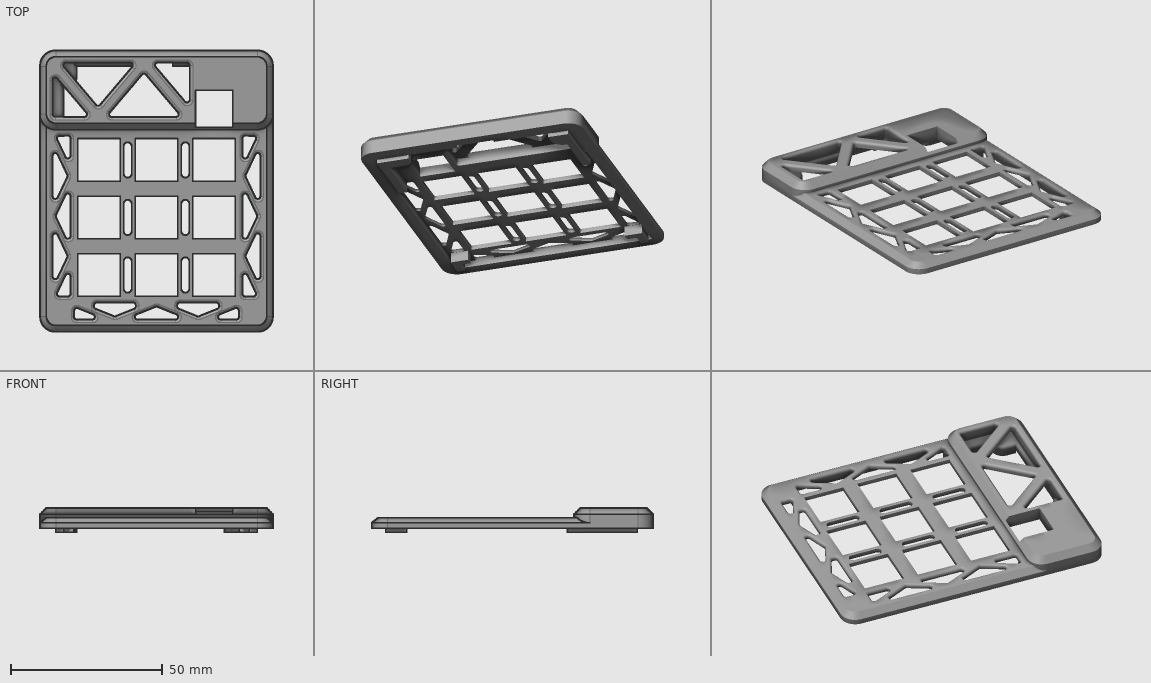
import cadquery as cq
WIDTH = 77.0
LENGTH = 93.0
CORNER_RADIUS = 5.2
TOTAL_HEIGHT = 8.09
FOOT_HEIGHT = 1.3
BLOCK_TOP = TOTAL_HEIGHT - FOOT_HEIGHT
BLOCK_DEPTH = 26.2
BLOCK_CHAMFER = 2.13
PLATE_TOP = 3.6
PLATE_THICKNESS = 1.5
PLATE_BOTTOM = PLATE_TOP - PLATE_THICKNESS
PLATE_CHAMFER_WIDTH = 2.13
PLATE_CHAMFER_HEIGHT = 1.74

X_MAX = WIDTH / 2
Y_MAX = LENGTH / 2
BLOCK_FRONT = Y_MAX - BLOCK_DEPTH

KEY_PITCH = 19.0
KEY_SIZE = 14.0
KEY_CENTER_Y = -8.7
SLOT_WIDTH = 2.6
SLOT_LENGTH = 11.6
BLOCK_KEY_SIZE = 12.2
BLOCK_KEY_Y = 27.2

RIM_RADIUS = 1.0
RIM_GAP = 0.05
WINDOW_CORNER_RADIUS = 0.85
WINDOW_INSET = RIM_RADIUS + RIM_GAP / 2

SIDE_OUTER_EDGE = 35.3
SIDE_INNER_EDGE = 27.4
SIDE_OUTER_NODE = 34.45
SIDE_INNER_NODE = 28.2
SIDE_NODE_PITCH = 13.25
SIDE_CENTER_Y = -8.25
SIDE_HALF_LENGTH = 27.55

FRONT_OUTER_EDGE = -43.4
FRONT_INNER_EDGE = -35.8
FRONT_OUTER_NODE = -42.5
FRONT_INNER_NODE = -37.0
FRONT_NODE_PITCH = 13.75
FRONT_HALF_LENGTH = 28.2
FRONT_WINDOW_HALF_WIDTH = 7.9

BLOCK_WINDOW_BACK = 43.45
BLOCK_WINDOW_FRONT = 23.5
BLOCK_WINDOW_LEFT = -35.3
BLOCK_WINDOW_RIGHT = 11.95
BLOCK_TRIANGLE_HEIGHT = 17.3
BLOCK_TRIANGLE_HALF_BASE = 14.64
DOWN_TRIANGLE_X = -19.3
UP_TRIANGLE_X = -4.15
STRUT_WIDTH_X = 2.75

RECESS_X = SIDE_OUTER_EDGE - WINDOW_INSET
RECESS_FRONT = FRONT_OUTER_EDGE + WINDOW_INSET
BAY_LEFT = BLOCK_WINDOW_LEFT + WINDOW_INSET
BAY_RIGHT = BLOCK_WINDOW_RIGHT - WINDOW_INSET
BAY_BACK = BLOCK_WINDOW_BACK - WINDOW_INSET
BAY_FRONT = BLOCK_WINDOW_FRONT + WINDOW_INSET
BAY_TOP = 4.7
LEDGE_TOP = 2.5
RECESS_BACK = 41.2
CONNECTOR_LEFT = -7.5
CONNECTOR_RIGHT = 5.3

FOOT_X = 33.3
FOOT_BACK = RECESS_BACK
FOOT_FRONT = -41.9
FOOT_WIDTH = 2.65
FOOT_LENGTH = 7.0
FRONT_FOOT_INNER_X = 27.3
BACK_ARM_FRONT = 18.1
CORNER_FOOT_RADIUS = 3.9
BACK_RIGHT_FOOT_WIDTH = 10.9
BACK_RIGHT_FOOT_LENGTH = 4.5
BACK_RIGHT_FOOT_RADIUS = 2.2


def box(x_min, x_max, y_min, y_max, z_min, z_max):
    size = (x_max - x_min, y_max - y_min, z_max - z_min)
    return cq.Workplane("XY").box(*size, centered=False).translate((x_min, y_min, z_min))


def rounded_block(y_min, y_max, height, chamfer_height, chamfer_width):
    block = box(-X_MAX, X_MAX, y_min, y_max, 0, height).edges("|Z").fillet(CORNER_RADIUS)
    return block.faces(">Z").chamfer(chamfer_height, chamfer_width)


def body():
    plate = rounded_block(-Y_MAX, Y_MAX, PLATE_TOP, PLATE_CHAMFER_HEIGHT, PLATE_CHAMFER_WIDTH)
    block = rounded_block(BLOCK_FRONT, Y_MAX, BLOCK_TOP, BLOCK_CHAMFER, BLOCK_CHAMFER)
    return plate.union(block)


def zigzag_windows(edges, nodes, pitch, center, half_length):
    """Corner points (along, across) of five windows between struts.

    The struts run through nodes one pitch apart, alternating between two lines. The
    middle window has its apex on the first line, its neighbours on the second.
    The two end windows are right-angled.
    """
    first_edge, second_edge = edges
    first_node, second_node = nodes
    slope = (second_node - first_node) / pitch
    middle_half = (second_edge - first_node) / slope
    neighbour_half = (second_node - first_edge) / slope
    middle = [
        (center - middle_half, second_edge),
        (center, first_node),
        (center + middle_half, second_edge),
    ]
    neighbours = []
    ends = []
    for side in (-1, 1):
        apex = center + side * pitch
        neighbours.append(
            [
                (apex - neighbour_half, first_edge),
                (apex, second_node),
                (apex + neighbour_half, first_edge),
            ]
        )
        end = center + side * half_length
        strut_at_end = first_node - slope * (half_length - 2 * pitch)
        strut_at_edge = center + side * (2 * pitch - middle_half)
        ends.append([(end, strut_at_end), (strut_at_edge, second_edge), (end, second_edge)])
    return middle, neighbours, ends


def cut_off_tips(triangle, half_width):
    """Replace the two base tips of a triangle (tip, apex, tip) by straight sides."""
    (_, base), (apex, apex_height), (right_tip, _) = triangle
    side_height = apex_height + (base - apex_height) * half_width / (right_tip - apex)
    return [
        (apex - half_width, base),
        (apex - half_width, side_height),
        (apex, apex_height),
        (apex + half_width, side_height),
        (apex + half_width, base),
    ]


def plate_windows():
    middle, neighbours, ends = zigzag_windows(
        (FRONT_INNER_EDGE, FRONT_OUTER_EDGE),
        (FRONT_INNER_NODE, FRONT_OUTER_NODE),
        FRONT_NODE_PITCH,
        0,
        FRONT_HALF_LENGTH,
    )
    blunt = [cut_off_tips(window, FRONT_WINDOW_HALF_WIDTH) for window in neighbours]
    windows = [middle, *blunt, *ends]

    middle, neighbours, ends = zigzag_windows(
        (SIDE_OUTER_EDGE, SIDE_INNER_EDGE),
        (SIDE_OUTER_NODE, SIDE_INNER_NODE),
        SIDE_NODE_PITCH,
        SIDE_CENTER_Y,
        SIDE_HALF_LENGTH,
    )
    for sign in (-1, 1):
        for window in (middle, *neighbours, *ends):
            windows.append([(sign * across, along) for along, across in window])
    return windows


def block_windows():
    slope = BLOCK_TRIANGLE_HEIGHT / BLOCK_TRIANGLE_HALF_BASE
    back, front = BLOCK_WINDOW_BACK, BLOCK_WINDOW_FRONT
    half = BLOCK_TRIANGLE_HALF_BASE
    down = [
        (DOWN_TRIANGLE_X - half, back),
        (DOWN_TRIANGLE_X, back - BLOCK_TRIANGLE_HEIGHT),
        (DOWN_TRIANGLE_X + half, back),
    ]
    up = [
        (UP_TRIANGLE_X - half, front),
        (UP_TRIANGLE_X, front + BLOCK_TRIANGLE_HEIGHT),
        (UP_TRIANGLE_X + half, front),
    ]
    left_tip_x = DOWN_TRIANGLE_X - STRUT_WIDTH_X + (back - BLOCK_TRIANGLE_HEIGHT - front) / slope
    left = [
        (BLOCK_WINDOW_LEFT, front),
        (left_tip_x, front),
        (BLOCK_WINDOW_LEFT, front + slope * (left_tip_x - BLOCK_WINDOW_LEFT)),
    ]
    right_tip_x = UP_TRIANGLE_X + STRUT_WIDTH_X - (back - BLOCK_TRIANGLE_HEIGHT - front) / slope
    right = [
        (right_tip_x, back),
        (BLOCK_WINDOW_RIGHT, back),
        (BLOCK_WINDOW_RIGHT, back - slope * (BLOCK_WINDOW_RIGHT - right_tip_x)),
    ]
    return [down, up, left, right]


def cut_windows(solid, windows, top):
    """Cut the windows through the solid and round the rims lying at height top."""
    margin = RIM_GAP / 4
    for corners in windows:
        opening = cq.Workplane("XY").polyline(corners).close().offset2D(-WINDOW_INSET).extrude(BLOCK_TOP)
        opening = opening.edges("|Z").fillet(WINDOW_CORNER_RADIUS)
        solid = solid.cut(opening)
        bounds = opening.val().BoundingBox()
        rim = cq.selectors.BoxSelector(
            (bounds.xmin - margin, bounds.ymin - margin, top - margin),
            (bounds.xmax + margin, bounds.ymax + margin, top + margin),
            boundingbox=True,
        )
        solid = solid.edges(rim).fillet(RIM_RADIUS)
    return solid


def underside_hollows():
    recess = box(-RECESS_X, RECESS_X, RECESS_FRONT, RECESS_BACK, 0, PLATE_BOTTOM)
    bay = box(BAY_LEFT, BAY_RIGHT, BAY_FRONT, BAY_BACK, 0, BAY_TOP)
    return recess.union(bay.edges("|Z").fillet(WINDOW_CORNER_RADIUS))


def bay_ledges():
    """Bay floor around the recess, open at the connector, with rounded upper inner edges."""
    arm_right = -FOOT_X + FOOT_WIDTH
    corner_right = -FOOT_X + FOOT_LENGTH
    corner_front = FOOT_BACK - FOOT_LENGTH
    left = (
        cq.Workplane("XY")
        .moveTo(BAY_LEFT, BAY_FRONT)
        .lineTo(arm_right, BAY_FRONT)
        .lineTo(arm_right, corner_front)
        .radiusArc((corner_right, corner_front + CORNER_FOOT_RADIUS), -CORNER_FOOT_RADIUS)
        .lineTo(corner_right, RECESS_BACK)
        .lineTo(CONNECTOR_LEFT, RECESS_BACK)
        .lineTo(CONNECTOR_LEFT, BAY_BACK)
        .lineTo(BAY_LEFT, BAY_BACK)
        .close()
        .extrude(LEDGE_TOP)
    )
    margin = RIM_GAP / 4
    inner_edges = cq.selectors.BoxSelector(
        (arm_right - margin, BAY_FRONT - margin, LEDGE_TOP - margin),
        (CONNECTOR_LEFT + margin, RECESS_BACK + margin, LEDGE_TOP + margin),
        boundingbox=True,
    )
    left = left.edges(inner_edges).fillet(RIM_RADIUS)
    right = box(CONNECTOR_RIGHT, BAY_RIGHT, RECESS_BACK, BAY_BACK, 0, LEDGE_TOP)
    right = right.edges(">Z and <Y").fillet(RIM_RADIUS)
    return left.union(right)


def back_arm():
    """Long arm of the back left foot."""
    return box(-FOOT_X, -FOOT_X + FOOT_WIDTH, BACK_ARM_FRONT, FOOT_BACK, -FOOT_HEIGHT, PLATE_BOTTOM)


def back_left_foot():
    """Rounded corner block and a long arm, below the bay ledge."""
    ledge_cover = box(-FOOT_X, -FOOT_X + FOOT_WIDTH, BAY_FRONT, FOOT_BACK, 0, PLATE_BOTTOM)
    corner_front = FOOT_BACK - FOOT_LENGTH
    corner = box(-FOOT_X, -FOOT_X + FOOT_LENGTH, corner_front, FOOT_BACK, -FOOT_HEIGHT, 0)
    corner = corner.edges("|Z and >X and <Y").fillet(CORNER_FOOT_RADIUS)
    return back_arm().cut(ledge_cover).union(corner)


def back_right_foot():
    """Rounded block and a long arm, below the solid end of the block."""
    x_min = FOOT_X - BACK_RIGHT_FOOT_WIDTH
    y_min = FOOT_BACK - BACK_RIGHT_FOOT_LENGTH
    corner = box(x_min, FOOT_X, y_min, FOOT_BACK, -FOOT_HEIGHT, PLATE_BOTTOM)
    corner = corner.edges("|Z and <X and <Y").fillet(BACK_RIGHT_FOOT_RADIUS)
    return corner.union(back_arm().mirror("YZ"))


def front_left_foot():
    """L-shaped foot whose short arm is set back from its front end."""
    x_min = -FOOT_X
    arm = box(x_min, x_min + FOOT_WIDTH, FOOT_FRONT, FOOT_FRONT + FOOT_LENGTH, -FOOT_HEIGHT, PLATE_BOTTOM)
    y_max = FOOT_FRONT + FOOT_LENGTH
    side_arm = box(x_min, -FRONT_FOOT_INNER_X, y_max - FOOT_WIDTH, y_max, -FOOT_HEIGHT, PLATE_BOTTOM)
    return arm.union(side_arm)


def add_feet(solid):
    front_left = front_left_foot()
    for foot in (back_left_foot(), back_right_foot(), front_left, front_left.mirror("YZ")):
        solid = solid.union(foot)
    return solid


def key_openings():
    columns = [-KEY_PITCH, 0, KEY_PITCH]
    rows = [KEY_CENTER_Y + step * KEY_PITCH for step in (-1, 0, 1)]
    keys = cq.Workplane("XY").pushPoints([(x, y) for x in columns for y in rows])
    keys = keys.rect(KEY_SIZE, KEY_SIZE).extrude(BLOCK_TOP)
    slots = cq.Workplane("XY").pushPoints([(x, y) for x in (-KEY_PITCH / 2, KEY_PITCH / 2) for y in rows])
    slots = slots.slot2D(SLOT_LENGTH, SLOT_WIDTH, 90).extrude(BLOCK_TOP)
    block_key = cq.Workplane("XY").center(KEY_PITCH, BLOCK_KEY_Y)
    block_key = block_key.rect(BLOCK_KEY_SIZE, BLOCK_KEY_SIZE).extrude(BLOCK_TOP)
    return keys.union(slots).union(block_key)


result = body()
result = cut_windows(result, block_windows(), BLOCK_TOP)
result = cut_windows(result, plate_windows(), PLATE_TOP)
result = result.cut(underside_hollows()).cut(key_openings())
result = add_feet(result.union(bay_ledges()))